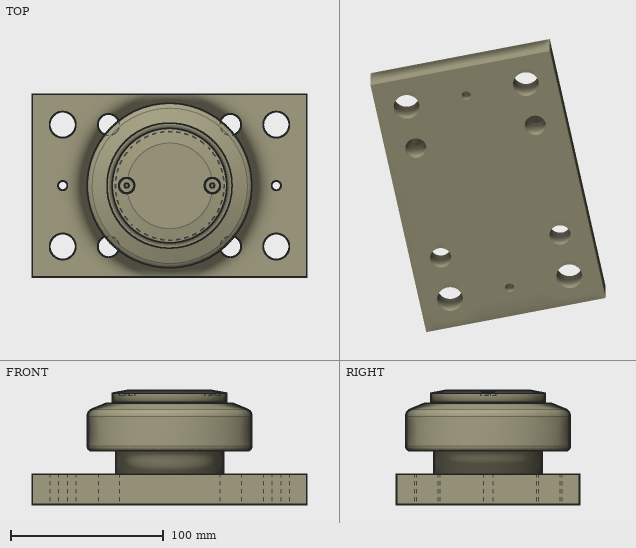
import cadquery as cq

plate_length = 180.0
plate_width = 120.0
plate_thickness = 20.0

corner_hole_diameter = 17.0
inner_hole_diameter = 13.9
pin_hole_diameter = 6.0
outer_hole_x = 70.0
inner_hole_x = 40.0
hole_y = 40.0

neck_diameter = 71.0

roller_diameter = 108.0
roller_bottom_z = 35.3
roller_top_z = 66.6
roller_bottom_fillet = 3.2
shoulder_fillet = 4.9
shoulder_edge_z = 61.4
shoulder_top_diameter = 82.0
rim_crown = 0.09

selection_margin = 0.2

cap_diameter = 75.0
cap_gap = 0.7
cap_underside_z = roller_top_z + cap_gap
spacer_diameter = 71.6
cap_rim_z = 73.0
cap_top_z = 74.9
cap_flat_diameter = 56.2

screw_x = 28.0
counterbore_diameter = 10.5
counterbore_depth = 3.2
screw_head_diameter = 9.7
screw_head_recess = 1.5
socket_across_corners = 3.5
socket_depth = 1.5


def vertical_cylinder(diameter, bottom_z, top_z):
    return cq.Workplane("XY").workplane(offset=bottom_z).circle(diameter / 2).extrude(top_z - bottom_z)


def mirrored_points(x, y):
    return [(sx * x, sy * y) for sx in (-1, 1) for sy in (-1, 1)]


def make_plate():
    plate = cq.Workplane("XY").box(plate_length, plate_width, plate_thickness, centered=(True, True, False))
    hole_patterns = [
        (corner_hole_diameter, mirrored_points(outer_hole_x, hole_y)),
        (inner_hole_diameter, mirrored_points(inner_hole_x, hole_y)),
        (pin_hole_diameter, [(-outer_hole_x, 0), (outer_hole_x, 0)]),
    ]
    for diameter, points in hole_patterns:
        holes = cq.Workplane("XY").pushPoints(points).circle(diameter / 2).extrude(plate_thickness)
        plate = plate.cut(holes)
    return plate


def make_roller():
    rim_edge_radius = roller_diameter / 2 - rim_crown
    rim_middle_z = (roller_bottom_z + shoulder_edge_z) / 2
    roller = (
        cq.Workplane("XZ")
        .moveTo(0, roller_bottom_z)
        .lineTo(rim_edge_radius, roller_bottom_z)
        .threePointArc((roller_diameter / 2, rim_middle_z), (rim_edge_radius, shoulder_edge_z))
        .lineTo(shoulder_top_diameter / 2, roller_top_z)
        .lineTo(0, roller_top_z)
        .close()
        .revolve(360, (0, 0, 0), (0, 1, 0))
    )
    roller = roller.faces("<Z").edges().fillet(roller_bottom_fillet)
    shoulder_edge = cq.selectors.BoxSelector(
        (-roller_diameter, -roller_diameter, shoulder_edge_z - selection_margin),
        (roller_diameter, roller_diameter, shoulder_edge_z + selection_margin),
    )
    return roller.edges(shoulder_edge).fillet(shoulder_fillet)


def make_cap():
    return (
        cq.Workplane("XZ")
        .moveTo(0, roller_top_z)
        .lineTo(spacer_diameter / 2, roller_top_z)
        .lineTo(spacer_diameter / 2, cap_underside_z)
        .lineTo(cap_diameter / 2, cap_underside_z)
        .lineTo(cap_diameter / 2, cap_rim_z)
        .lineTo(cap_flat_diameter / 2, cap_top_z)
        .lineTo(0, cap_top_z)
        .close()
        .revolve(360, (0, 0, 0), (0, 1, 0))
    )


def add_screw(body, x):
    floor_z = cap_top_z - counterbore_depth
    head_top_z = cap_top_z - screw_head_recess
    counterbore = vertical_cylinder(counterbore_diameter, floor_z, cap_top_z)
    head = vertical_cylinder(screw_head_diameter, floor_z, head_top_z)
    socket = (
        cq.Workplane("XY")
        .workplane(offset=head_top_z)
        .polygon(6, socket_across_corners)
        .extrude(-socket_depth)
    )
    offset = (x, 0, 0)
    body = body.cut(counterbore.translate(offset))
    return body.union(head.cut(socket).translate(offset))


neck = vertical_cylinder(neck_diameter, plate_thickness, roller_bottom_z)
result = make_plate().union(neck).union(make_roller()).union(make_cap())
for screw_position in (-screw_x, screw_x):
    result = add_screw(result, screw_position)